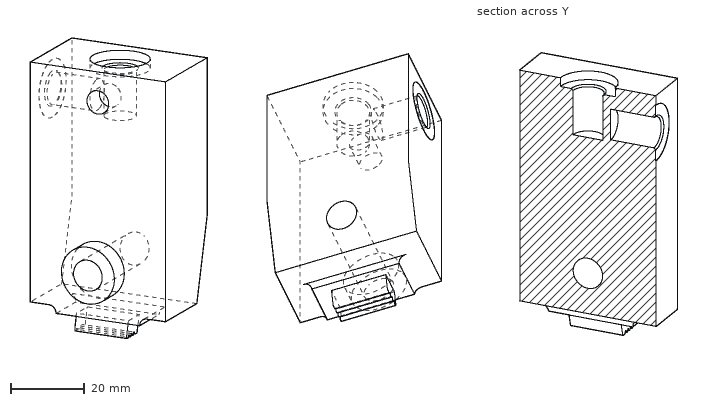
import cadquery as cq
import math

total_height = 75.4
body_width = 41.25
body_depth = 25.35
body_height = 68.3
taper_start = 44.9
taper_slope = math.tan(math.radians(15))

foot_height = 2.2
foot_half_width = 12.75
foot_depth = 12.4

tab_width = 15.8
tab_front = 2.8
tab_back = 9.35
tab_land = 1.05
tab_edge_radius = 0.4
groove_width = 0.6
groove_depth = 0.75
groove_pitch = 1.545
first_groove = 3.1
groove_count = 3

boss_radius = 8.1
boss_length = 6.0
boss_drop = 56.3
bore_radius = 4.4

port_radius = 4.45
port_chamfer = 0.5
port_seat_radius = 8.2
port_setback = 13.5
side_port_drop = 11.1
top_seat_depth = 2.6
side_seat_depth = 0.1
port_depth = 13.6
pilot_radius = 3.3
pilot_drop = 8.7
pilot_depth = 7.55


def make_body():
    lower_depth = body_depth - (body_height - taper_start) * taper_slope
    outline = [
        (0, 0),
        (body_depth, 0),
        (body_depth, -taper_start),
        (lower_depth, -body_height),
        (0, -body_height),
    ]
    return cq.Workplane("YZ").polyline(outline).close().extrude(body_width / 2, both=True)


def make_foot():
    foot_bottom = -body_height - foot_height
    top_half_width = foot_half_width + foot_height
    front = (
        cq.Workplane("XZ")
        .moveTo(-foot_half_width, foot_bottom)
        .lineTo(foot_half_width, foot_bottom)
        .radiusArc((top_half_width, -body_height), foot_height)
        .lineTo(-top_half_width, -body_height)
        .radiusArc((-foot_half_width, foot_bottom), foot_height)
        .close()
        .extrude(-foot_depth)
    )
    side_outline = [
        (0, -body_height),
        (foot_depth, -body_height),
        (foot_depth - foot_height * taper_slope, foot_bottom),
        (0, foot_bottom),
    ]
    side = cq.Workplane("YZ").polyline(side_outline).close().extrude(body_width / 2, both=True)
    return front.intersect(side)


def make_tab():
    tab_top = -body_height - foot_height
    tab_height = total_height + tab_top
    front_low = tab_front - (tab_height - tab_land) * taper_slope
    outline = [
        (tab_front, tab_top),
        (tab_back, tab_top),
        (tab_back - tab_height * taper_slope, -total_height),
        (front_low, -total_height),
        (front_low, -total_height + tab_land),
    ]
    tab = cq.Workplane("YZ").polyline(outline).close().extrude(tab_width / 2, both=True)
    arch_radius = groove_width / 2
    arch_spring = -total_height + groove_depth - arch_radius
    for index in range(groove_count):
        centre = first_groove + index * groove_pitch
        groove = (
            cq.Workplane("YZ")
            .moveTo(centre - arch_radius, -total_height)
            .lineTo(centre - arch_radius, arch_spring)
            .radiusArc((centre + arch_radius, arch_spring), arch_radius)
            .lineTo(centre + arch_radius, -total_height)
            .close()
            .extrude(tab_width / 2, both=True)
        )
        tab = tab.cut(groove)
    return tab.faces("<Z").edges("|X").fillet(tab_edge_radius)


def cylinder(radius, length, start, direction):
    return cq.Workplane(cq.Solid.makeCylinder(radius, length, cq.Vector(*start), cq.Vector(*direction)))


def make_port(mouth, direction, seat_depth):
    """Blind bore with a chamfered mouth at the bottom of a round seat."""
    axis = cq.Vector(*direction)
    seat_centre = cq.Vector(*mouth) + axis * seat_depth
    seat = cq.Solid.makeCylinder(port_seat_radius, seat_depth, cq.Vector(*mouth), axis)
    bore = cq.Solid.makeCylinder(port_radius, port_depth, seat_centre, axis)
    chamfer = cq.Solid.makeCone(
        port_radius + port_chamfer, port_radius, port_chamfer, seat_centre, axis
    )
    return cq.Workplane(seat).union(cq.Workplane(bore)).union(cq.Workplane(chamfer))


boss = cylinder(boss_radius, boss_length, (0, 0, -boss_drop), (0, -1, 0))
through_bore = cylinder(
    bore_radius, boss_length + body_depth, (0, -boss_length, -boss_drop), (0, 1, 0)
)
pilot_hole = cylinder(pilot_radius, pilot_depth, (0, 0, -pilot_drop), (0, 1, 0))
top_port = make_port((0, port_setback, 0), (0, 0, -1), top_seat_depth)
side_port = make_port(
    (-body_width / 2, port_setback, -side_port_drop), (1, 0, 0), side_seat_depth
)

result = make_body().union(make_foot()).union(make_tab()).union(boss)
for opening in (through_bore, pilot_hole, top_port, side_port):
    result = result.cut(opening)